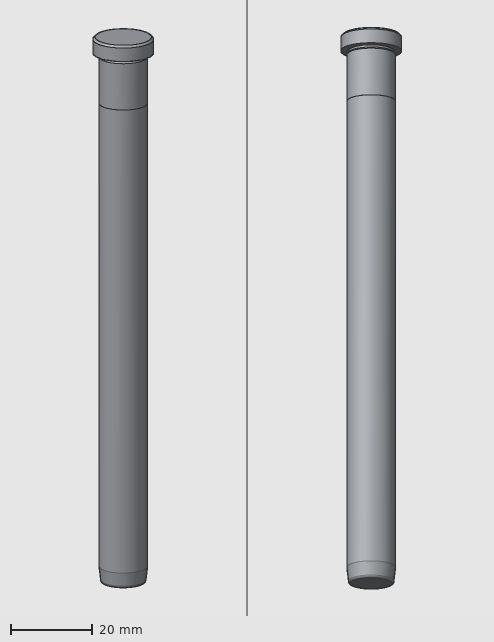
import cadquery as cq
import math

TOTAL_LENGTH = 140.0
HEAD_DIAMETER = 15.0
SHAFT_DIAMETER = 12.0

HEAD_HEIGHT = 4.0
HEAD_CHAMFER = 0.5
GROOVE_WIDTH = 1.0
GROOVE_DEPTH = 0.4
GROOVE_RUNOUT = 0.4

HEADED_LENGTH = 17.0

TIP_LENGTH = 4.0
TIP_TAPER = 0.4
TIP_ROUNDING = 0.5

HEAD_RADIUS = HEAD_DIAMETER / 2
SHAFT_RADIUS = SHAFT_DIAMETER / 2
JOINT_Z = TOTAL_LENGTH - HEADED_LENGTH


def revolve_about_z(outline):
    """Turn a closed outline in the XZ plane around the Z axis."""
    return outline.revolve(360, (0, 0, 0), (0, 1, 0))


def make_headed_section():
    """Chamfered head, relief groove and fitted shank down to the joint."""
    head_bottom = TOTAL_LENGTH - HEAD_HEIGHT
    groove_bottom = head_bottom - GROOVE_WIDTH
    groove_radius = SHAFT_RADIUS - GROOVE_DEPTH
    outline = cq.Workplane("XZ").polyline([
        (0, JOINT_Z),
        (SHAFT_RADIUS, JOINT_Z),
        (SHAFT_RADIUS, groove_bottom),
        (groove_radius, groove_bottom + GROOVE_RUNOUT),
        (groove_radius, head_bottom),
        (HEAD_RADIUS, head_bottom),
        (HEAD_RADIUS, TOTAL_LENGTH - HEAD_CHAMFER),
        (HEAD_RADIUS - HEAD_CHAMFER, TOTAL_LENGTH),
        (0, TOTAL_LENGTH),
    ]).close()
    return revolve_about_z(outline)


def make_guide_section():
    """Long cylinder from the joint down to the tapered, rounded tip."""
    tip_radius = SHAFT_RADIUS - TIP_TAPER
    flat_radius = tip_radius - TIP_ROUNDING
    arc_middle = (
        flat_radius + TIP_ROUNDING * math.sin(math.pi / 4),
        TIP_ROUNDING * (1 - math.cos(math.pi / 4)),
    )
    outline = (
        cq.Workplane("XZ")
        .lineTo(flat_radius, 0)
        .threePointArc(arc_middle, (tip_radius, TIP_ROUNDING))
        .lineTo(SHAFT_RADIUS, TIP_LENGTH)
        .lineTo(SHAFT_RADIUS, JOINT_Z)
        .lineTo(0, JOINT_Z)
        .close()
    )
    return revolve_about_z(outline)


headed_section = make_headed_section()
guide_section = make_guide_section()

result = cq.Compound.makeCompound([headed_section.val(), guide_section.val()])